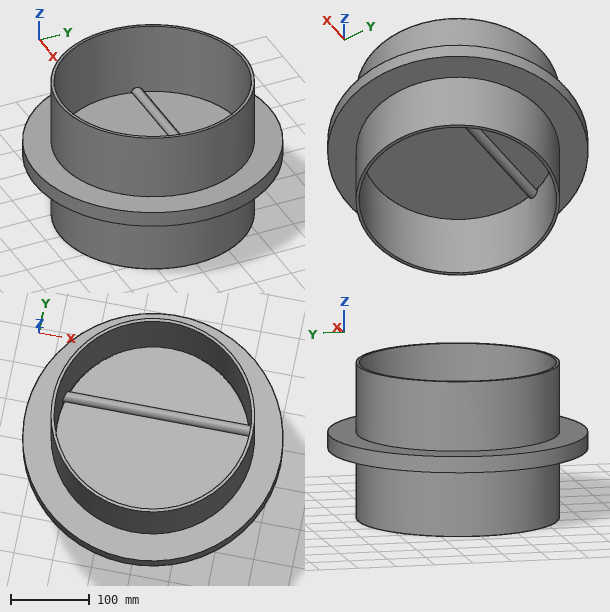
import cadquery as cq

tube_diameter = 258.0
bore_diameter = 250.0
tube_height = 200.0

flange_diameter = 330
flange_thickness = 20.8

plate_diameter = 246.2
plate_thickness = 4.0
shaft_diameter = 15.0
shaft_offset = 34.5


def centred_disc(diameter, height):
    """Cylinder on the Z axis, centred on the origin."""
    return cq.Workplane("XY").cylinder(height, diameter / 2)


bore = centred_disc(bore_diameter, tube_height)

housing = centred_disc(tube_diameter, tube_height)
housing = housing.union(centred_disc(flange_diameter, flange_thickness))
housing = housing.cut(bore)

plate = centred_disc(plate_diameter, plate_thickness)

shaft_length = (bore_diameter + tube_diameter) / 2
shaft_envelope = centred_disc(shaft_length, tube_height)
shaft = (
    cq.Workplane("YZ")
    .center(shaft_offset, 0)
    .circle(shaft_diameter / 2)
    .extrude(shaft_length / 2, both=True)
    .intersect(shaft_envelope)
)

result = housing.union(shaft).union(plate)